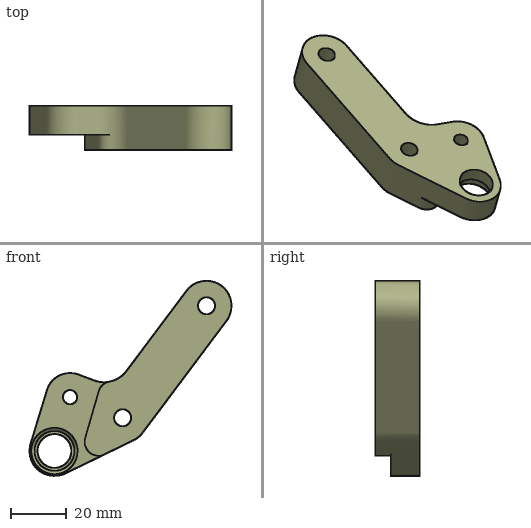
import cadquery as cq
import math

BORE = (0, 0)
LOBE = (5.6, 19.25)
PIVOT = (24.4, 11.9)
ARM_END = (54.4, 52.0)

EDGE_RADIUS = 9.0
LOBE_RADIUS = 8.7
NECK_RADIUS = 10.0

THICKNESS = 16.0
PLATE_THICKNESS = 10.5
BACK_Y = THICKNESS

STEP_TO_PIVOT = 10.85
STEP_CORNER_RADIUS = 5.0

LOBE_HOLE_DIAMETER = 5.0
ARM_HOLE_DIAMETER = 6.0
BORE_DIAMETER = 12.0
SEAT_DIAMETER = 14.25
SEAT_DEPTH = 5.0
SEAT_CHAMFER = 1.15

CUT_MARGIN = 36.2


def back_plane():
    """XZ sketch plane on the back face, extruding toward -Y."""
    return cq.Workplane("XZ", origin=(0, BACK_Y, 0))


def tapered_bar(start, start_radius, end, end_radius):
    """Full-thickness bar: two discs joined by their outer tangent lines."""
    span_x = end[0] - start[0]
    span_z = end[1] - start[1]
    heading = math.atan2(span_z, span_x)
    spread = math.acos((start_radius - end_radius) / math.hypot(span_x, span_z))

    def rim_point(center, radius, side):
        angle = heading + side * spread
        return center[0] + radius * math.cos(angle), center[1] + radius * math.sin(angle)

    web = [
        rim_point(start, start_radius, 1),
        rim_point(end, end_radius, 1),
        rim_point(end, end_radius, -1),
        rim_point(start, start_radius, -1),
    ]
    bar = back_plane().polyline(web).close().extrude(THICKNESS)
    for center, radius in ((start, start_radius), (end, end_radius)):
        bar = bar.union(back_plane().center(*center).circle(radius).extrude(THICKNESS))
    return bar


def make_body():
    """Triangular plate and arm joined through a blended neck."""
    body = back_plane().polyline([BORE, PIVOT, LOBE]).close().extrude(THICKNESS)
    body = body.union(tapered_bar(BORE, EDGE_RADIUS, LOBE, LOBE_RADIUS))
    body = body.union(tapered_bar(LOBE, LOBE_RADIUS, PIVOT, EDGE_RADIUS))
    body = body.union(tapered_bar(PIVOT, EDGE_RADIUS, BORE, EDGE_RADIUS))
    body = body.union(tapered_bar(PIVOT, EDGE_RADIUS, ARM_END, EDGE_RADIUS)).clean()
    neck = cq.selectors.NearestToPointSelector((PIVOT[0], BACK_Y - THICKNESS / 2, LOBE[1]))
    return body.edges("|Y").edges(neck).fillet(NECK_RADIUS)


def cut_step(body):
    """Remove the front layer left of a line parallel to the bore-lobe axis."""
    step_depth = THICKNESS - PLATE_THICKNESS
    along = cq.Vector(LOBE[0], LOBE[1]).normalized()
    toward_bore = cq.Vector(-along.y, along.x)
    foot = cq.Vector(*PIVOT) + toward_bore * STEP_TO_PIVOT
    near = [foot + along * CUT_MARGIN, foot - along * CUT_MARGIN]
    far = [point + toward_bore * CUT_MARGIN for point in reversed(near)]
    cutter = (
        cq.Workplane("XZ")
        .polyline([(point.x, point.y) for point in near + far])
        .close()
        .extrude(-step_depth)
    )
    front_layer = cq.Workplane("XZ").rect(4 * CUT_MARGIN, 4 * CUT_MARGIN).extrude(-step_depth)
    plate = body.cut(front_layer)
    pad = body.intersect(front_layer).cut(cutter)
    wall = cq.selectors.NearestToPointSelector((foot.x, step_depth / 2, foot.y))
    pad = pad.faces(wall).edges("|Y").fillet(STEP_CORNER_RADIUS)
    return plate.union(pad)


def cut_holes(body):
    """Pin holes and the chamfered bearing seat, all along Y."""
    for center, diameter in (
        (LOBE, LOBE_HOLE_DIAMETER),
        (PIVOT, ARM_HOLE_DIAMETER),
        (ARM_END, ARM_HOLE_DIAMETER),
        (BORE, BORE_DIAMETER),
    ):
        body = body.cut(back_plane().center(*center).circle(diameter / 2).extrude(THICKNESS))
    seat_plane = cq.Workplane("XZ", origin=(BORE[0], BACK_Y - PLATE_THICKNESS, BORE[1]))
    seat = seat_plane.circle(SEAT_DIAMETER / 2).extrude(-SEAT_DEPTH)
    mouth = cq.Workplane(
        cq.Solid.makeCone(
            SEAT_DIAMETER / 2 + SEAT_CHAMFER,
            SEAT_DIAMETER / 2,
            SEAT_CHAMFER,
            pnt=seat_plane.plane.origin,
            dir=cq.Vector(0, 1, 0),
        )
    )
    return body.cut(seat).cut(mouth)


result = cut_holes(cut_step(make_body()))